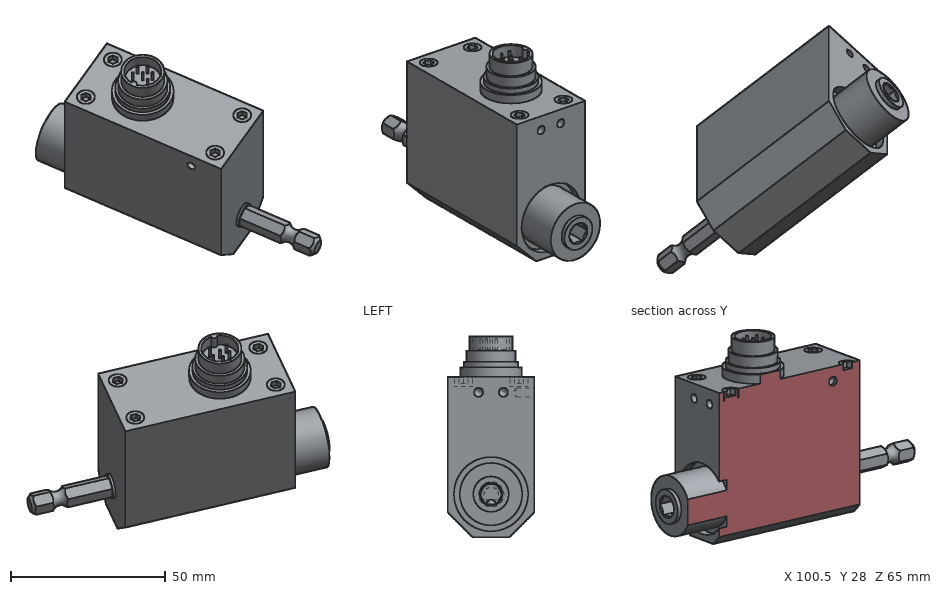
import cadquery as cq
import math

body_length = 58.0
body_width = 28.0
body_height = 52.0
bottom_chamfer = 8.0
axis_height = 14.0

socket_reach = 14.5
hub_diameter = 11.5
hub_length = 1.5
sleeve_diameter = 20.2
recess_diameter = 24.0
recess_depth = 3.0
hex_across_flats = 6.4
socket_depth = 12.1
socket_countersink_diameter = 7.4
ball_diameter = 2.9
ball_depth = 9.0

shank_reach = 28.0
collar_diameter = 8.1
collar_length = 0.9
groove_position = 18.5
groove_radius = 3.2
neck_diameter = 4.7
tip_diameter = 4.6

connector_offset = 21.1
connector_tiers = [(20.0, 3.0), (17.8, 1.8), (16.0, 3.6), (14.0, 4.6)]
bore_diameter = 12.0
bore_depth = 4.2
pin_diameter = 0.76
pin_circle_radius = 3.2
pin_angles = [-30, 30, 90, 150, 210]
pin_length = 3.6
pin_tip_chamfer = 0.2
key_diameter = 2.0

screw_inset = 5.0
screw_hole_diameter = 5.8
screw_head_diameter = 5.7
screw_head_depth = 3.0
screw_hex_across_corners = 3.5
screw_hex_depth = 2.0

drill_diameter = 2.9
drill_depth = 6.0
drill_point_angle = 118.0
drill_drop = 5.0
end_hole_offset = 4.0
side_hole_offset = 11.1

half_width = body_width / 2
hex_across_corners = hex_across_flats / math.cos(math.radians(30))


def x_cylinder(x_start, length, diameter):
    """Cylinder on the drive axis, running toward +X."""
    plane = cq.Plane(origin=(x_start, 0, axis_height), xDir=(0, 1, 0), normal=(1, 0, 0))
    return cq.Workplane(plane).circle(diameter / 2).extrude(length)


def x_hexagon(x_start, length, corner_direction):
    """Hexagonal bar on the drive axis with a corner pointing along corner_direction."""
    plane = cq.Plane(origin=(x_start, 0, axis_height), xDir=corner_direction, normal=(1, 0, 0))
    return cq.Workplane(plane).polygon(6, hex_across_corners).extrude(length)


def around_drive_axis(profile):
    """Revolve a closed XZ profile about the drive axis."""
    return profile.close().revolve(360, (0, 0, 0), (1, 0, 0))


def axis_profile():
    return cq.Workplane("XZ", origin=(0, 0, axis_height))


def drilled_hole(entry, direction):
    """Blind hole with a conical bottom, as a tool solid."""
    radius = drill_diameter / 2
    point_length = radius / math.tan(math.radians(drill_point_angle / 2))
    start = cq.Vector(*entry)
    heading = cq.Vector(*direction)
    shaft = cq.Solid.makeCylinder(radius, drill_depth, start, heading)
    point = cq.Solid.makeCone(radius, 0, point_length, start + heading * drill_depth, heading)
    return cq.Workplane(shaft.fuse(point))


def make_body():
    block = cq.Workplane("XY").box(body_length, body_width, body_height, centered=(False, True, False))
    block = block.faces("<Z").edges("|X").chamfer(bottom_chamfer)
    block = block.cut(x_cylinder(0, recess_depth, recess_diameter))
    for y in (-end_hole_offset, end_hole_offset):
        block = block.cut(drilled_hole((0, y, body_height - drill_drop), (1, 0, 0)))
    side_entry = (body_length - side_hole_offset, -half_width, body_height - drill_drop)
    return block.cut(drilled_hole(side_entry, (0, 1, 0)))


def cut_screws(block):
    """Narrow ring gap around each screw head, and its hexagon socket."""
    centers = [
        (x, y)
        for x in (screw_inset, body_length - screw_inset)
        for y in (screw_inset - half_width, half_width - screw_inset)
    ]
    top = cq.Workplane("XY", origin=(0, 0, body_height)).pushPoints(centers)
    gaps = top.circle(screw_hole_diameter / 2).circle(screw_head_diameter / 2).extrude(-screw_head_depth)
    sockets = top.polygon(6, screw_hex_across_corners).extrude(-screw_hex_depth)
    return block.cut(gaps).cut(sockets)


def make_socket():
    """Sleeve and hub with a hexagon socket and a detent ball in its lower flat."""
    tip_x = -socket_reach
    sleeve = x_cylinder(tip_x + hub_length, socket_reach - hub_length + recess_depth, sleeve_diameter)
    hub = x_cylinder(tip_x, hub_length, hub_diameter)
    countersink_radius = socket_countersink_diameter / 2
    countersink = around_drive_axis(
        axis_profile()
        .moveTo(tip_x, 0)
        .lineTo(tip_x, countersink_radius)
        .lineTo(tip_x + countersink_radius, 0)
    )
    ball_z = axis_height - hex_across_flats / 2
    ball = cq.Workplane("XY", origin=(tip_x + ball_depth, 0, ball_z)).sphere(ball_diameter / 2)
    socket = sleeve.union(hub).cut(x_hexagon(tip_x, socket_depth, (0, 1, 0)))
    return socket.cut(countersink).union(ball)


def make_shank():
    """Collar and hexagonal bit shank with a round groove and a tapered tip."""
    tip_x = body_length + shank_reach
    corner_radius = hex_across_corners / 2
    tip_radius = tip_diameter / 2
    taper_length = corner_radius - tip_radius
    envelope = around_drive_axis(
        axis_profile()
        .moveTo(body_length, 0)
        .lineTo(body_length, corner_radius)
        .lineTo(tip_x - taper_length, corner_radius)
        .lineTo(tip_x, tip_radius)
        .lineTo(tip_x, 0)
    )
    groove_center = (body_length + groove_position, neck_diameter / 2 + groove_radius)
    groove = (
        axis_profile()
        .center(*groove_center)
        .circle(groove_radius)
        .revolve(360, (0, -groove_center[1], 0), (1, -groove_center[1], 0))
    )
    shank = x_hexagon(body_length, shank_reach, (0, 0, 1)).intersect(envelope).cut(groove)
    return shank.union(x_cylinder(body_length, collar_length, collar_diameter))


def make_connector():
    """Stepped connector shell with a keyed bore and contact pins."""
    base = cq.Workplane("XY", origin=(connector_offset, 0, body_height))
    shell = cq.Workplane()
    shell_height = 0
    for diameter, height in connector_tiers:
        tier = base.workplane(offset=shell_height).circle(diameter / 2).extrude(height)
        shell = shell.add(tier)
        shell_height += height
    shell = shell.combine()
    bore_radius = bore_diameter / 2
    floor = base.workplane(offset=shell_height - bore_depth)
    bore = floor.circle(bore_radius).extrude(bore_depth)
    key = floor.center(0, -bore_radius).circle(key_diameter / 2).extrude(bore_depth).intersect(bore)
    pin_points = [(0, 0)]
    for angle in pin_angles:
        turn = math.radians(angle)
        pin_points.append((pin_circle_radius * math.cos(turn), pin_circle_radius * math.sin(turn)))
    pins = floor.pushPoints(pin_points).circle(pin_diameter / 2).extrude(pin_length)
    pins = pins.faces(">Z").chamfer(pin_tip_chamfer)
    return shell.cut(bore).union(key).union(pins)


result = (
    cut_screws(make_body())
    .union(make_socket())
    .union(make_shank())
    .union(make_connector())
)